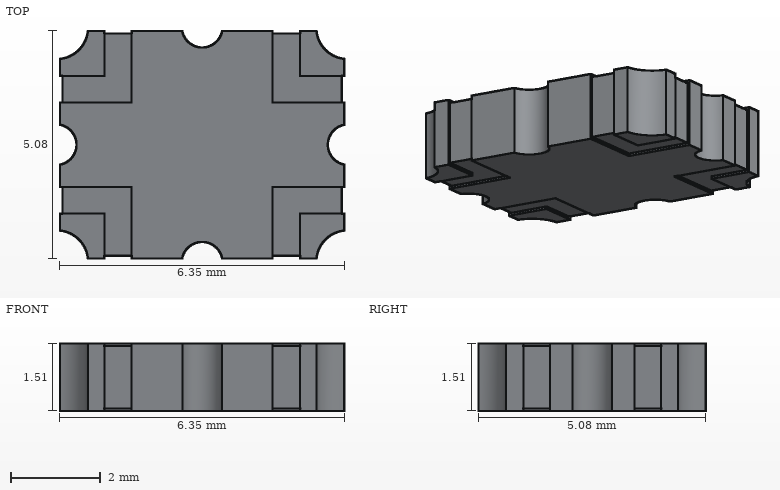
import cadquery as cq

length = 6.35
width = 5.08
height = 1.51

metal_thickness = 0.06
cross_bar_x = 3.15
cross_bar_y = 1.89

pad_inner_x = 2.185
pad_inner_y = 1.535

notch_half_width = 0.445
notch_depth = 0.37

corner_leg = 0.62
corner_radius = 0.69


def centred_box(size_x, size_y, size_z):
    return cq.Workplane("XY").box(size_x, size_y, size_z)


def through_cylinder(radius, x, y):
    return cq.Workplane("XY").center(x, y).circle(radius).extrude(height, both=True)


body = centred_box(
    length - 2 * metal_thickness,
    width - 2 * metal_thickness,
    height - 2 * metal_thickness,
)
body = body.union(centred_box(cross_bar_x, width, height))
body = body.union(centred_box(length, cross_bar_y, height))

pad_x = length / 2 - pad_inner_x
pad_y = width / 2 - pad_inner_y
corners = [(sx, sy) for sx in (-1, 1) for sy in (-1, 1)]
for sx, sy in corners:
    pad = centred_box(pad_x, pad_y, height)
    body = body.union(
        pad.translate((sx * (length - pad_x) / 2, sy * (width - pad_y) / 2, 0))
    )

notch_radius = (notch_half_width**2 + notch_depth**2) / (2 * notch_depth)
notch_offset = notch_radius - notch_depth
for side in (-1, 1):
    body = body.cut(through_cylinder(notch_radius, side * (length / 2 + notch_offset), 0))
    body = body.cut(through_cylinder(notch_radius, 0, side * (width / 2 + notch_offset)))

corner_offset = ((2 * corner_radius**2 - corner_leg**2) ** 0.5 - corner_leg) / 2
for sx, sy in corners:
    body = body.cut(
        through_cylinder(
            corner_radius,
            sx * (length / 2 + corner_offset),
            sy * (width / 2 + corner_offset),
        )
    )

result = body